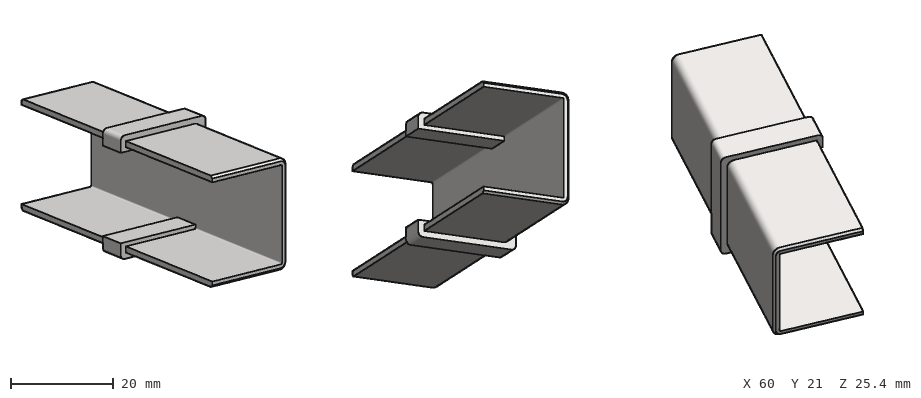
import cadquery as cq

length = 60.0
depth = 21.0
height = 25.4

sheet = 1.25
inner_bend = 0.3
outer_bend = inner_bend + sheet
end_chamfer = 0.5

band_width = 5.65
band_wall = 1.25
band_corner = 1.0
band_lip = 0.9

channel_depth = depth - 2 * band_wall
channel_height = height - 2 * band_wall
opening_height = channel_height - 2 * sheet


def centred_box(size_x, size_y, size_z):
    """Box centred on the origin."""
    return cq.Workplane("XY").box(size_x, size_y, size_z)


def make_channel():
    """U-shaped sheet with rounded bends and its outer end edges chamfered."""
    body = centred_box(length, channel_depth, channel_height)
    body = body.edges("|X and >Y").fillet(outer_bend)

    for end in ("<X", ">X"):
        rim = body.faces(end).edges("not <Y")
        body = rim.chamfer(end_chamfer)

    opening = centred_box(length, channel_depth, opening_height)
    opening = opening.edges("|X and >Y").fillet(inner_bend)
    return body.cut(opening.translate((0, -sheet, 0)))


def make_band():
    """C-shaped band that wraps the channel and grips both flanges from inside."""
    wrap = centred_box(band_width, depth, height).edges("|X").fillet(band_corner)
    web = band_wall + sheet
    gap_height = opening_height - 2 * band_lip
    gap = centred_box(band_width, depth, gap_height).translate((0, -web, 0))
    return wrap.cut(gap)


result = make_channel().union(make_band())